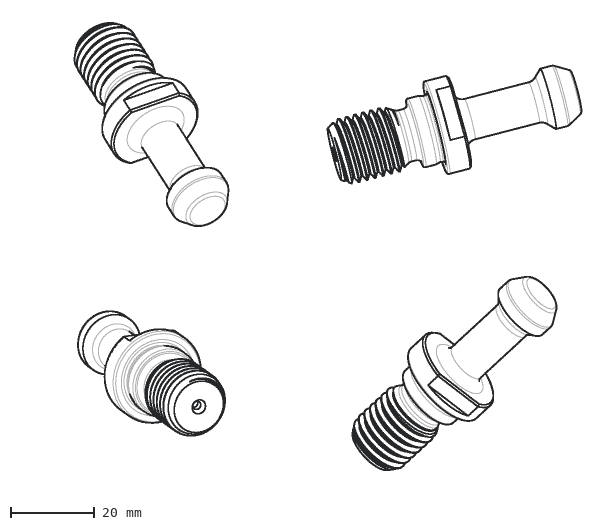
import cadquery as cq
import math

length = 60.0

six_pitches = 12.0
pitch = six_pitches / 6
crest_radius = 8.0
root_radius = 6.8
crest_width = 0.25
ridge_overlap = 0.1
first_crest = 0.49
thread_end = 16.6
end_face_radius = 6.4
flank_angle = math.radians(30)
lead_in_angle = math.radians(32)

relief_radius = 6.35
run_out_angle = math.radians(30)
run_out_blend = 1.55
relief_fillet = 1.25
collar_start = 19.9
collar_radius = 8.5
collar_round = 0.5
collar_end = 23.0
undercut_radius = 8.2
undercut_start = 24.0
undercut_fillet = 0.55
undercut_depth = 0.2
undercut_rim_radius = 9.55

run_out_radius = relief_radius + run_out_blend * (1 - math.cos(run_out_angle))

flange_start = 25.0
flange_end = 31.0
flange_diameter = 23.0
flange_radius = flange_diameter / 2
flange_edge = 0.5
flat_start = 27.0
flat_offset = 9.5

neck_radius = 5.05
neck_fillet = 2.5
head_radius = 7.5
head_start = 53.0
head_taper_start = 56.1
head_back_angle = math.radians(45)
head_taper = math.radians(30)
head_round = 1.0

centre_mouth_radius = 1.75
centre_bore_radius = 1.0
centre_bore_end = 3.0
countersink_half_angle = math.radians(30)
drill_tip_half_angle = math.radians(60)


def revolve_about_x(profile):
    return profile.close().revolve(360, (0, 0, 0), (1, 0, 0))


def make_shank():
    """Relief groove and collar, with a rounded root running into the flange."""
    blend_end = thread_end + run_out_blend * math.sin(run_out_angle)
    undercut_floor = flange_start + undercut_depth
    return revolve_about_x(
        cq.Workplane("XY")
        .moveTo(thread_end, 0)
        .lineTo(thread_end, run_out_radius)
        .radiusArc((blend_end, relief_radius), -run_out_blend)
        .lineTo(collar_start - relief_fillet, relief_radius)
        .radiusArc((collar_start, relief_radius + relief_fillet), -relief_fillet)
        .lineTo(collar_start, collar_radius - collar_round)
        .radiusArc((collar_start + collar_round, collar_radius), collar_round)
        .lineTo(collar_end, collar_radius)
        .lineTo(undercut_start, undercut_radius)
        .lineTo(undercut_floor - undercut_fillet, undercut_radius)
        .radiusArc((undercut_floor, undercut_radius + undercut_fillet), -undercut_fillet)
        .lineTo(flange_end, undercut_radius + undercut_fillet)
        .lineTo(flange_end, 0)
    )


def make_thread():
    """Core with a right-hand 60 degree ridge, both trimmed by the lead-in and run-out cones."""
    half_crest = crest_width / 2
    inner_radius = root_radius - ridge_overlap
    half_base = half_crest + (crest_radius - inner_radius) * math.tan(flank_angle)
    start = first_crest - pitch
    turns = math.ceil((thread_end - start) / pitch) + 1
    path = cq.Wire.makeHelix(pitch, turns * pitch, root_radius)
    ridge = (
        cq.Workplane("XZ")
        .moveTo(inner_radius, -half_base)
        .lineTo(crest_radius, -half_crest)
        .lineTo(crest_radius, half_crest)
        .lineTo(inner_radius, half_base)
        .close()
        .sweep(cq.Workplane(path), isFrenet=True)
        .rotate((0, 0, 0), (0, 1, 0), 90)
        .translate((start, 0, 0))
    )
    core = (
        cq.Workplane("YZ")
        .workplane(offset=start - pitch)
        .circle(root_radius)
        .extrude((turns + 2) * pitch)
    )
    outer_radius = crest_radius + ridge_overlap
    lead_in_length = (outer_radius - end_face_radius) / math.tan(lead_in_angle)
    run_out_length = (outer_radius - run_out_radius) / math.tan(run_out_angle)
    envelope = revolve_about_x(
        cq.Workplane("XY")
        .lineTo(0, end_face_radius)
        .lineTo(lead_in_length, outer_radius)
        .lineTo(thread_end - run_out_length, outer_radius)
        .lineTo(thread_end, run_out_radius)
        .lineTo(thread_end, 0)
    )
    return core.union(ridge).intersect(envelope)


def make_flange():
    """Flange ring with flats on +Z and -Z, rounded on the shank side and chamfered on the other."""
    width = flange_end - flange_start
    flange = cq.Workplane("YZ").workplane(offset=flange_start).circle(flange_radius).extrude(width)
    flat_length = flange_end - flat_start
    flat_depth = flange_radius - flat_offset
    for side in (1, -1):
        cutter = cq.Workplane("XY").box(flat_length, 2 * flange_radius, flat_depth)
        cutter = cutter.translate((flat_start + flat_length / 2, 0, side * (flat_offset + flat_depth / 2)))
        flange = flange.cut(cutter)
    flange = flange.faces("<X").edges().fillet(flange_edge)
    flange = flange.faces(">X").edges().chamfer(flange_edge)
    return flange


def make_face_undercut():
    """Shallow tapered ring to remove from the flange face around the shank."""
    floor = flange_start + undercut_depth
    return revolve_about_x(
        cq.Workplane("XY")
        .moveTo(flange_start, undercut_radius)
        .lineTo(floor, undercut_radius)
        .lineTo(floor, undercut_radius + undercut_fillet)
        .lineTo(flange_start, undercut_rim_radius)
    )


def make_head():
    """Neck blended into the flange, and the double-tapered gripping head."""
    blend_end_radius = neck_radius + neck_fillet * (1 - math.cos(head_back_angle))
    blend_end = head_start - (head_radius - blend_end_radius) / math.tan(head_back_angle)
    blend_start = blend_end - neck_fillet * math.sin(head_back_angle)
    tip_radius = head_radius - (length - head_taper_start) * math.tan(head_taper)
    head = revolve_about_x(
        cq.Workplane("XY")
        .moveTo(flange_end, 0)
        .lineTo(flange_end, neck_radius + neck_fillet)
        .radiusArc((flange_end + neck_fillet, neck_radius), -neck_fillet)
        .lineTo(blend_start, neck_radius)
        .radiusArc((blend_end, blend_end_radius), -neck_fillet)
        .lineTo(head_start, head_radius)
        .lineTo(head_taper_start, head_radius)
        .lineTo(length, tip_radius)
        .lineTo(length, 0)
    )
    tip_margin = 0.6
    near_tip = cq.selectors.BoxSelector(
        (head_taper_start - tip_margin, -head_radius, -head_radius),
        (length + tip_margin, head_radius, head_radius),
    )
    return head.edges(near_tip).edges("%CIRCLE").fillet(head_round)


def make_centre_hole():
    countersink_depth = (centre_mouth_radius - centre_bore_radius) / math.tan(countersink_half_angle)
    tip_length = centre_bore_radius / math.tan(drill_tip_half_angle)
    return revolve_about_x(
        cq.Workplane("XY")
        .lineTo(0, centre_mouth_radius)
        .lineTo(countersink_depth, centre_bore_radius)
        .lineTo(centre_bore_end, centre_bore_radius)
        .lineTo(centre_bore_end + tip_length, 0)
    )


result = (
    make_flange()
    .cut(make_face_undercut())
    .union(make_shank())
    .union(make_head())
    .union(make_thread())
    .cut(make_centre_hole())
)